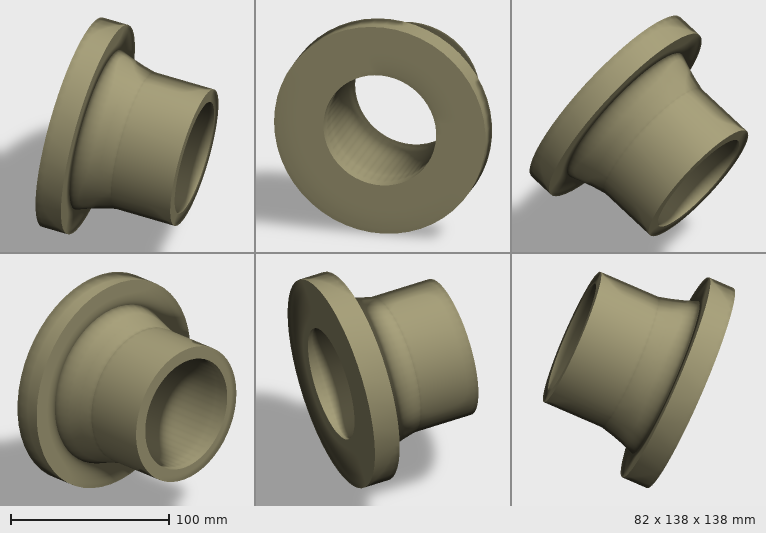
import cadquery as cq

flange_diameter = 138.0
bore_diameter = 73.5
pipe_diameter = 90.0
shoulder_diameter = 105.2
total_length = 82.0
flange_thickness = 17.1
neck_length = 25.0
neck_sag = 0.5

flange_radius = flange_diameter / 2
bore_radius = bore_diameter / 2
pipe_radius = pipe_diameter / 2
shoulder_radius = shoulder_diameter / 2
neck_end = flange_thickness + neck_length
neck_middle = (
    flange_thickness + neck_length / 2,
    (shoulder_radius + pipe_radius) / 2 - neck_sag,
)

half_section = (
    cq.Workplane("XY")
    .moveTo(0, bore_radius)
    .lineTo(0, flange_radius)
    .lineTo(flange_thickness, flange_radius)
    .lineTo(flange_thickness, shoulder_radius)
    .threePointArc(neck_middle, (neck_end, pipe_radius))
    .lineTo(total_length, pipe_radius)
    .lineTo(total_length, bore_radius)
    .close()
)

result = half_section.revolve(360, (0, 0, 0), (1, 0, 0))